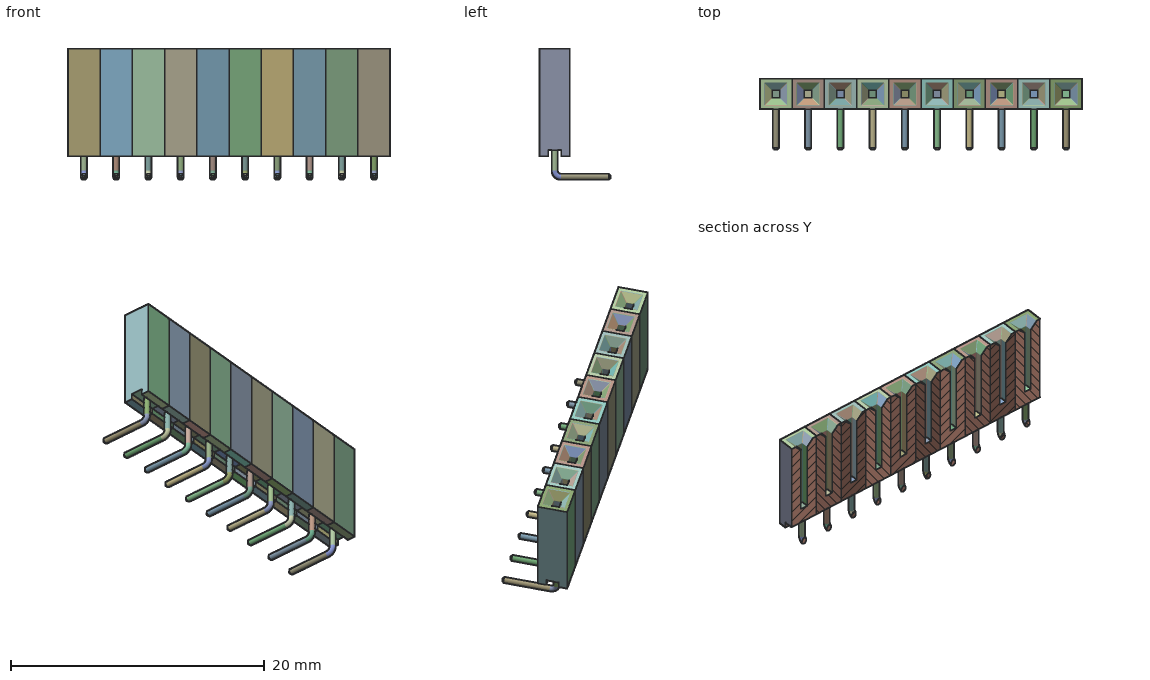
import cadquery as cq


segment_count = 10
pitch = 2.54
housing_depth = 2.4
housing_height = 8.5

groove_width = 1.0
groove_height = 0.5

lead_in_width = 1.8
lead_in_depth = 0.6
contact_hole_width = 0.6
contact_hole_depth = 6.0
socket_edge_radius = 0.05

tail_diameter = 0.5
tail_bend_radius = 0.5
tail_reach = 4.4
tail_drop = 1.85
tail_tip_chamfer = 0.15
tail_axis_z = tail_diameter / 2 - tail_drop
bend_start_z = tail_axis_z + tail_bend_radius
drop_length = groove_height - bend_start_z
straight_length = tail_reach - tail_bend_radius


def make_housing():
    """Plain block standing on Z = 0 with the groove cut along its underside."""
    block = cq.Workplane("XY").box(pitch, housing_depth, housing_height, centered=(True, True, False))
    groove = cq.Workplane("XY").box(pitch, groove_width, groove_height, centered=(True, True, False))
    return block.cut(groove)


def make_socket_cavity():
    """Square funnel from the top face, leading into the square contact hole."""
    lead_in = (
        cq.Workplane("XY", origin=(0, 0, housing_height))
        .rect(lead_in_width, lead_in_width)
        .workplane(offset=-lead_in_depth)
        .rect(contact_hole_width, contact_hole_width)
        .loft(ruled=True)
    )
    contact_hole = (
        cq.Workplane("XY", origin=(0, 0, housing_height - lead_in_depth))
        .rect(contact_hole_width, contact_hole_width)
        .extrude(-contact_hole_depth)
    )
    return lead_in.union(contact_hole)


def make_socket():
    """Housing with the cavity cut in and every cavity edge rounded except those of its floor."""
    socket = make_housing().cut(make_socket_cavity())
    cavity_floor_z = housing_height - lead_in_depth - contact_hole_depth
    half_search_width = (lead_in_width + socket_edge_radius) / 2
    cavity_edges = cq.selectors.BoxSelector(
        (-half_search_width, -half_search_width, cavity_floor_z + socket_edge_radius),
        (half_search_width, half_search_width, housing_height + socket_edge_radius),
    )
    return socket.edges(cavity_edges).fillet(socket_edge_radius)


def make_tail():
    """Round wire: down from the groove, through a quarter bend, then out toward -Y."""
    tail_radius = tail_diameter / 2
    drop = cq.Workplane("XY", origin=(0, 0, bend_start_z)).circle(tail_radius).extrude(drop_length)
    bend = (
        cq.Workplane("XY", origin=(0, 0, bend_start_z))
        .circle(tail_radius)
        .revolve(90, (0, -tail_bend_radius, 0), (-1, -tail_bend_radius, 0))
    )
    straight = (
        cq.Workplane("XZ", origin=(0, -tail_bend_radius, tail_axis_z))
        .circle(tail_radius)
        .extrude(straight_length)
        .faces("<Y")
        .chamfer(tail_tip_chamfer)
    )
    return drop.union(bend).union(straight)


def make_segment():
    """One socket and its tail, as a single solid."""
    return make_socket().union(make_tail())


segment = make_segment()
segments = []
for index in range(segment_count):
    segment_x = (index - (segment_count - 1) / 2) * pitch
    segments.append(segment.translate((segment_x, 0, 0)).val())

result = cq.Compound.makeCompound(segments)